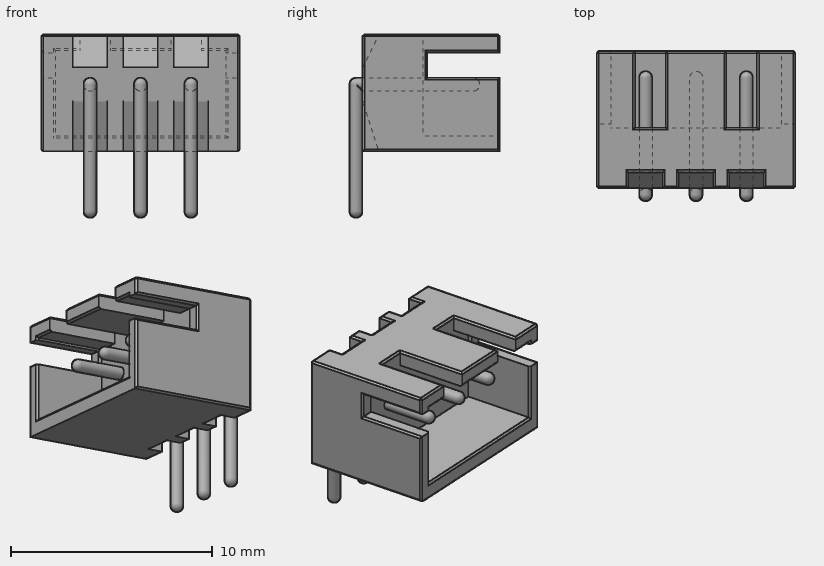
import cadquery as cq

HOUSING_WIDTH = 9.85
HOUSING_DEPTH = 6.8
HOUSING_HEIGHT = 5.8
EDGE_CHAMFER = 0.1

SIDE_WALL_THICKNESS = 0.7
TOP_AND_FLOOR_THICKNESS = 0.78
CAVITY_DEPTH = 3.8

MIDDLE_TONGUE_WIDTH = 3.0
TOP_SLOT_WIDTH = 1.525
TOP_SLOT_OFFSET = (MIDDLE_TONGUE_WIDTH + TOP_SLOT_WIDTH) / 2
TOP_SLOT_DEPTH = CAVITY_DEPTH
SIDE_SLOT_HEIGHT = 1.25
SIDE_SLOT_DEPTH = 3.6
SIDE_SLOT_BOTTOM = 3.65

NOTCH_WIDTH = 1.7
NOTCH_DEPTH = 0.8
TOP_NOTCH_HEIGHT = 1.64
BOTTOM_NOTCH_HEIGHT = 2.475

PIN_COUNT = 3
PIN_PITCH = 2.5
PIN_DIAMETER = 0.65
PIN_RADIUS = PIN_DIAMETER / 2
PIN_AXIS_Y = -PIN_RADIUS
PIN_AXIS_Z = 3.325
PIN_TAIL_BELOW_HOUSING = 3.3
PIN_TIP_SETBACK = 1.0

pin_positions = [(i - (PIN_COUNT - 1) / 2) * PIN_PITCH for i in range(PIN_COUNT)]


def make_pin(x):
    """L-shaped pin: a horizontal and a vertical leg meeting in a ball at the bend."""
    bend = cq.Vector(x, PIN_AXIS_Y, PIN_AXIS_Z)
    mating_end = cq.Vector(x, HOUSING_DEPTH - PIN_TIP_SETBACK - PIN_RADIUS, PIN_AXIS_Z)
    solder_end = cq.Vector(x, PIN_AXIS_Y, PIN_RADIUS - PIN_TAIL_BELOW_HOUSING)
    pin = cq.Workplane("XY").sphere(PIN_RADIUS).translate(bend)
    for leg_end in (mating_end, solder_end):
        leg = leg_end - bend
        pin = pin.union(cq.Workplane(cq.Solid.makeCylinder(PIN_RADIUS, leg.Length, bend, leg)))
        pin = pin.union(cq.Workplane("XY").sphere(PIN_RADIUS).translate(leg_end))
    return pin


def open_slot(width, depth, height, x, bottom):
    """Cutting box that reaches inwards from the mating face by the given depth."""
    corner = cq.Vector(x - width / 2, HOUSING_DEPTH - depth, bottom)
    return cq.Workplane(cq.Solid.makeBox(width, depth, height, corner))


def notch(x, edge_z, run_out_z):
    """Wedge that is deepest at height edge_z and runs out on the solder-side face at run_out_z."""
    profile = [(0, edge_z), (NOTCH_DEPTH, edge_z), (0, run_out_z)]
    return (
        cq.Workplane("YZ", origin=(x, 0, 0))
        .polyline(profile)
        .close()
        .extrude(NOTCH_WIDTH / 2, both=True)
    )


def make_housing(pins):
    """Hollow block with slots and notches, and a matching hole for every pin."""
    housing = cq.Workplane("XY").box(
        HOUSING_WIDTH, HOUSING_DEPTH, HOUSING_HEIGHT, centered=(True, False, False)
    )

    cavity_width = HOUSING_WIDTH - 2 * SIDE_WALL_THICKNESS
    cavity_height = HOUSING_HEIGHT - 2 * TOP_AND_FLOOR_THICKNESS
    cavity = open_slot(cavity_width, CAVITY_DEPTH, cavity_height, 0, TOP_AND_FLOOR_THICKNESS)
    mouth = (
        cq.Workplane("XZ", origin=(0, HOUSING_DEPTH, HOUSING_HEIGHT / 2))
        .rect(cavity_width + 2 * EDGE_CHAMFER, cavity_height + 2 * EDGE_CHAMFER)
        .workplane(offset=EDGE_CHAMFER)
        .rect(cavity_width, cavity_height)
        .loft(ruled=True)
    )
    housing = housing.cut(cavity).cut(mouth)

    slot_bottom = HOUSING_HEIGHT / 2
    slot_height = HOUSING_HEIGHT - slot_bottom
    for x in (-TOP_SLOT_OFFSET, TOP_SLOT_OFFSET):
        top_slot = open_slot(TOP_SLOT_WIDTH, TOP_SLOT_DEPTH, slot_height, x, slot_bottom)
        housing = housing.cut(top_slot)
    housing = housing.cut(
        open_slot(HOUSING_WIDTH, SIDE_SLOT_DEPTH, SIDE_SLOT_HEIGHT, 0, SIDE_SLOT_BOTTOM)
    )

    for x in pin_positions:
        housing = housing.cut(notch(x, HOUSING_HEIGHT, HOUSING_HEIGHT - TOP_NOTCH_HEIGHT))
        housing = housing.cut(notch(x, 0, BOTTOM_NOTCH_HEIGHT))

    housing = housing.faces(">Z or <X or >X").edges().chamfer(EDGE_CHAMFER)

    for pin in pins:
        housing = housing.cut(pin)
    return housing


pins = [make_pin(x) for x in pin_positions]
housing = make_housing(pins)

result = cq.Compound.makeCompound([housing.val(), *[pin.val() for pin in pins]])